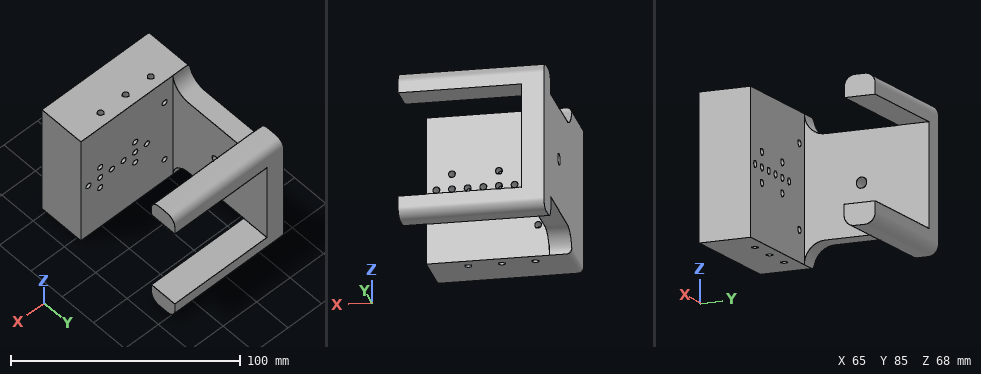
import cadquery as cq
import math

WIDTH = 65.0
LENGTH = 85.0
HEIGHT = 68.0
HALF_HEIGHT = HEIGHT / 2

BLOCK_DEPTH = 25.0
CORNER_RADIUS = 2.5
PLATE_THICKNESS = 10.0
NECK_INSET = 10.0
NECK_HALF_HEIGHT = HALF_HEIGHT - NECK_INSET
GRIP_DEPTH = 15.0
GRIP_START = LENGTH - GRIP_DEPTH
GRIP_RADIUS = 5.0

PLATE_HOLE_DIAMETER = 5.0
PLATE_HOLE_Y = 52.5
SMALL_HOLE_DIAMETER = 3.0
CROSS_PITCH = 7.0
CROSS_ROW_X = 25.6
CROSS_ROW_COUNT = 6
CROSS_ARM_COLUMNS = (1, 4)
PAIR_X = 15.05
PAIR_HALF_SPACING = 19.5
VERTICAL_HOLE_Y = 18.8
VERTICAL_HOLE_PITCH = 15.0


def box(x_size, y_start, y_end, z_start, z_end):
    """Box standing on the X = 0 face."""
    size = (x_size, y_end - y_start, z_end - z_start)
    return cq.Workplane("XY").box(*size, centered=False).translate((0, y_start, z_start))


def rounded_bar(y_end):
    """Full-section bar from the front face to y_end, rounded along its X = 0 edges."""
    bar = box(WIDTH, 0, y_end, -HALF_HEIGHT, HALF_HEIGHT)
    return bar.edges("|Y and <X").fillet(CORNER_RADIUS)


def make_neck():
    """Plate between block and grips, flaring to full height with concave quarter rounds.

    The tips of the flares follow the rounded corners of the block.
    """
    flare_end = BLOCK_DEPTH + NECK_INSET
    arc_offset = NECK_INSET * (1 - math.sqrt(0.5))
    arc_middle_y = BLOCK_DEPTH + arc_offset
    arc_middle_z = NECK_HALF_HEIGHT + arc_offset
    neck = (
        cq.Workplane("YZ")
        .moveTo(BLOCK_DEPTH, -HALF_HEIGHT)
        .threePointArc((arc_middle_y, -arc_middle_z), (flare_end, -NECK_HALF_HEIGHT))
        .lineTo(GRIP_START, -NECK_HALF_HEIGHT)
        .lineTo(GRIP_START, NECK_HALF_HEIGHT)
        .lineTo(flare_end, NECK_HALF_HEIGHT)
        .threePointArc((arc_middle_y, arc_middle_z), (BLOCK_DEPTH, HALF_HEIGHT))
        .close()
        .extrude(PLATE_THICKNESS)
    )
    return neck.intersect(rounded_bar(GRIP_START))


def make_grips():
    """Full-height end of the plate with a grip bar along its top and bottom."""
    grips = box(WIDTH, GRIP_START, LENGTH, -HALF_HEIGHT, HALF_HEIGHT).edges("|X").fillet(GRIP_RADIUS)
    gap = box(WIDTH, GRIP_START, LENGTH, -NECK_HALF_HEIGHT, NECK_HALF_HEIGHT)
    return grips.cut(gap.translate((PLATE_THICKNESS, 0, 0)))


def front_hole_points():
    """X, Z positions: a row with two crossing columns, and a wide pair near the plate."""
    points = [(CROSS_ROW_X + i * CROSS_PITCH, 0) for i in range(CROSS_ROW_COUNT)]
    for side in (1, -1):
        points += [(CROSS_ROW_X + i * CROSS_PITCH, side * CROSS_PITCH) for i in CROSS_ARM_COLUMNS]
        points.append((PAIR_X, side * PAIR_HALF_SPACING))
    return points


def hole_cutters(plane, points, diameter, depth):
    return cq.Workplane(plane).pushPoints(points).circle(diameter / 2).extrude(depth)


front_holes = hole_cutters("XZ", front_hole_points(), SMALL_HOLE_DIAMETER, -BLOCK_DEPTH)

vertical_points = [(WIDTH / 2 + i * VERTICAL_HOLE_PITCH, VERTICAL_HOLE_Y) for i in (-1, 0, 1)]
vertical_holes = hole_cutters("XY", vertical_points, SMALL_HOLE_DIAMETER, HEIGHT)
vertical_holes = vertical_holes.translate((0, 0, -HALF_HEIGHT))

plate_hole = hole_cutters("YZ", [(PLATE_HOLE_Y, 0)], PLATE_HOLE_DIAMETER, PLATE_THICKNESS)

result = rounded_bar(BLOCK_DEPTH).union(make_neck()).union(make_grips())
result = result.cut(front_holes).cut(vertical_holes).cut(plate_hole)